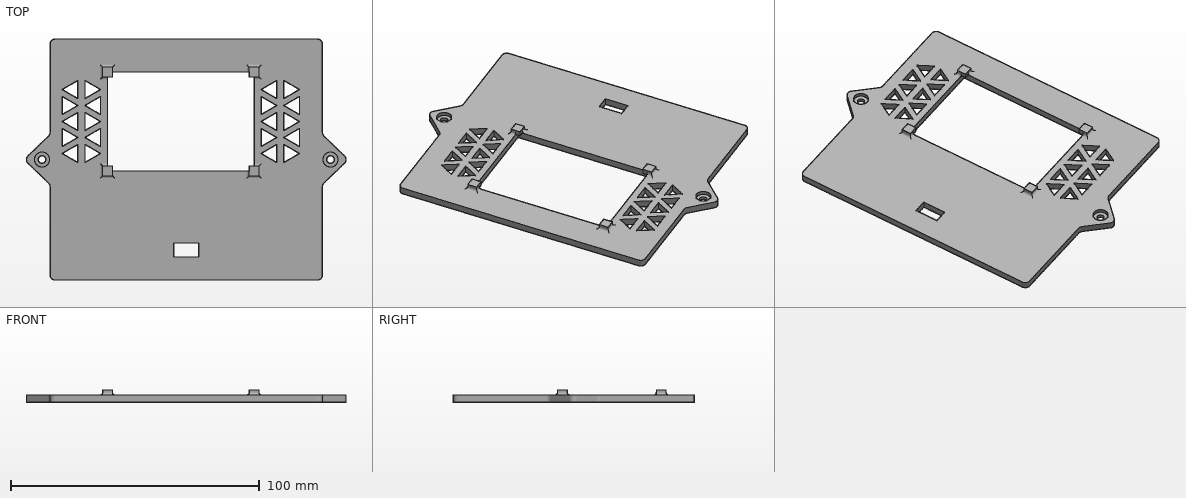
import cadquery as cq
import math

plate_length = 109.5
plate_width = 97.0
plate_thickness = 3.0
corner_radius = 2.0

ear_neck_width = 20.0
ear_apex_x = 65.2
screw_x = 58.0
screw_diameter = 3.0
head_diameter = 6.0
head_depth = plate_thickness / 2

opening_length = 58.9
opening_width = 39.7
opening_x = -2.2
opening_y = 15.3
post_side = 4.0
post_height = 2.0
post_fillet = post_height / 2

vent_height = 6.2
vent_column_gap = 3.0
vent_row_pitch = 6.4
vent_rows = 5
vent_group_offset = 40.0

slot_length = 10.0
slot_width = 5.5
slot_y = -36.4


def build_plate():
    """Rectangular plate merged with a pointed ear on each short side."""
    half_length = plate_length / 2
    half_width = plate_width / 2
    half_neck = ear_neck_width / 2
    right_side = [
        (half_length, -half_width),
        (half_length, -half_neck),
        (ear_apex_x, 0),
        (half_length, half_neck),
        (half_length, half_width),
    ]
    left_side = [(-x, -y) for x, y in right_side]
    outline = cq.Workplane("XY").polyline(right_side + left_side).close()
    return outline.extrude(plate_thickness).edges("|Z").fillet(corner_radius)


def cut_screw_holes(body):
    """Counterbored hole in each ear."""
    return (
        body.faces(">Z").workplane(origin=(0, 0, plate_thickness))
        .pushPoints([(-screw_x, 0), (screw_x, 0)])
        .cboreHole(screw_diameter, head_diameter, head_depth)
    )


def through_box(length, width, x, y):
    """Rectangular cutter that passes through the plate and the posts."""
    height = plate_thickness + post_height
    return cq.Workplane("XY").box(length, width, height, centered=(True, True, False)).translate((x, y, 0))


def vent(centre_x, centre_y, direction):
    """Equilateral prism whose tip points along +X or -X."""
    back_x = centre_x - direction * vent_height / 2
    tip_x = centre_x + direction * vent_height / 2
    half_base = vent_height / math.sqrt(3)
    corners = [(back_x, centre_y - half_base), (tip_x, centre_y), (back_x, centre_y + half_base)]
    return cq.Workplane("XY").polyline(corners).close().extrude(plate_thickness)


def cut_vents(body):
    """Columns of vents whose tips alternate outward and inward."""
    column_offset = (vent_height + vent_column_gap) / 2
    for group_side in (-1, 1):
        group_x = opening_x + group_side * vent_group_offset
        for column_side in (-1, 1):
            for row in range(vent_rows):
                row_y = opening_y + (row - (vent_rows - 1) / 2) * vent_row_pitch
                direction = column_side * (-1) ** row
                body = body.cut(vent(group_x + column_side * column_offset, row_y, direction))
    return body


def flared_profile(plane):
    """Flared post foot profile on the given plane, extruded across the foot."""
    half_post = post_side / 2
    half_foot = half_post + post_fillet
    arc_mid = post_fillet * (1 - math.sqrt(0.5))
    return (
        cq.Workplane(plane)
        .moveTo(-half_foot, 0)
        .threePointArc((-half_post - arc_mid, arc_mid), (-half_post, post_fillet))
        .lineTo(half_post, post_fillet)
        .threePointArc((half_post + arc_mid, arc_mid), (half_foot, 0))
        .close()
        .extrude(half_foot, both=True)
    )


def add_posts(body):
    """Square posts centred on the opening corners, with filleted feet on the plate only."""
    foot = flared_profile("XZ").intersect(flared_profile("YZ"))
    post = cq.Workplane("XY").box(post_side, post_side, post_height, centered=(True, True, False))
    opening = through_box(opening_length, opening_width, opening_x, opening_y)
    for side_x in (-1, 1):
        for side_y in (-1, 1):
            place = (
                opening_x + side_x * opening_length / 2,
                opening_y + side_y * opening_width / 2,
                plate_thickness,
            )
            body = body.union(foot.translate(place).cut(opening)).union(post.translate(place))
    return body


result = build_plate()
result = cut_screw_holes(result)
result = result.cut(through_box(opening_length, opening_width, opening_x, opening_y))
result = result.cut(through_box(slot_length, slot_width, 0, slot_y))
result = cut_vents(result)
result = add_posts(result)